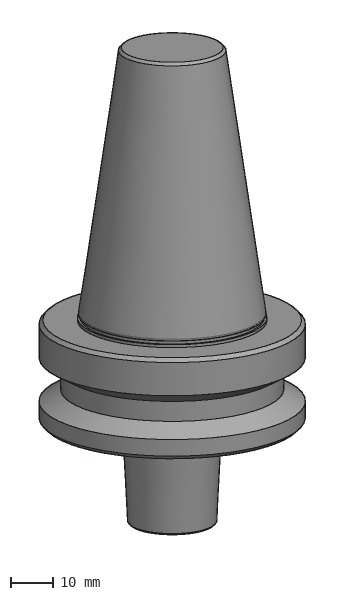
import cadquery as cq
import math

total_height = 117.4
flange_bottom = 25.0
flange_top = 50.0

flange_radius = 63.0 / 2
flange_chamfer = 0.9
groove_radius = 26.4
groove_bottom = 33.0
groove_top = 37.9
groove_side_angle = 30.0
groove_side_height = (flange_radius - groove_radius) * math.tan(math.radians(groove_side_angle))

gauge_radius = 22.2
gauge_height = 52.0
taper_on_radius = 7 / 48
shank_chamfer = 0.7
shank_shoulder = total_height - shank_chamfer
shank_tip_radius = gauge_radius - (shank_shoulder - gauge_height) * taper_on_radius

collar_radius = 22.4
relief_depth = 0.4
relief_bottom = 50.7
relief_top = 51.5
relief_radius = gauge_radius - relief_depth

nose_tip_radius = 10.6
nose_angle = 3.0
nose_chamfer = 0.5
nose_slope = math.tan(math.radians(nose_angle))
nose_root_radius = nose_tip_radius + flange_bottom * nose_slope
nose_blend_radius = 4.9


def revolve_profile(points):
    """Revolve a closed (radius, height) outline about the Z axis."""
    return cq.Workplane("XZ").polyline(points).close().revolve(360, (0, 0, 0), (0, 1, 0))


def make_nose_and_flange():
    body = revolve_profile([
        (0, 0),
        (nose_tip_radius - nose_chamfer, 0),
        (nose_tip_radius + nose_chamfer * nose_slope, nose_chamfer),
        (nose_root_radius, flange_bottom),
        (flange_radius - flange_chamfer, flange_bottom),
        (flange_radius, flange_bottom + flange_chamfer),
        (flange_radius, groove_bottom - groove_side_height),
        (groove_radius, groove_bottom),
        (groove_radius, groove_top),
        (flange_radius, groove_top + groove_side_height),
        (flange_radius, flange_top - flange_chamfer),
        (flange_radius - flange_chamfer, flange_top),
        (0, flange_top),
    ])
    smallest_circle = cq.selectors.RadiusNthSelector(0)
    root_edges = body.edges("%CIRCLE").edges(
        cq.selectors.BoxSelector(
            (-flange_radius, -flange_radius, flange_bottom - nose_chamfer),
            (flange_radius, flange_radius, flange_bottom + nose_chamfer),
        )
    )
    return body.newObject(root_edges.edges(smallest_circle).vals()).fillet(nose_blend_radius)


def make_shank():
    return revolve_profile([
        (0, flange_top),
        (collar_radius, flange_top),
        (collar_radius, relief_bottom),
        (relief_radius, relief_bottom),
        (relief_radius, relief_top),
        (gauge_radius, relief_top),
        (gauge_radius, gauge_height),
        (shank_tip_radius, shank_shoulder),
        (shank_tip_radius - shank_chamfer, total_height),
        (0, total_height),
    ])


result = make_nose_and_flange().union(make_shank())